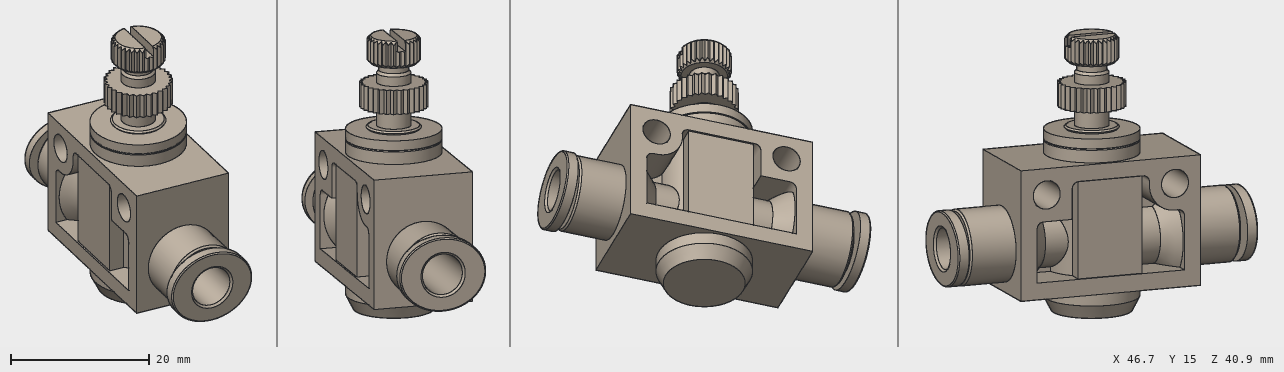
import cadquery as cq
import math


BODY_LENGTH = 28.0
BODY_WIDTH = 15.0
BODY_TOP = 12.4
BODY_BOTTOM = -7.0

HOLE_X = 10.0
HOLE_Z = 8.5
HOLE_RADIUS = 2.1

POCKET_HALF_LENGTH = 11.5
POCKET_BOTTOM = -4.5
POCKET_TOP = 10.05
POCKET_NECK_HALF_WIDTH = 6.02
POCKET_CORNER_RADIUS = 1.0
BOSS_RADIUS = HOLE_X - POCKET_NECK_HALF_WIDTH
POCKET_SHOULDER = HOLE_Z - BOSS_RADIUS
WEB_THICKNESS = 2.35

CORE_RADIUS = 7.0
PORT_CORE_RADIUS = 4.45
PORT_CORE_OFFSET = 0.45
FLARE_LENGTH = 2.5
PAD_WIDTH = 9.95
PAD_INSET = 0.3

OVERALL_LENGTH = 46.7
BARREL_RADIUS = 5.6
BARREL_END = 21.1
BARREL_CHAMFER = 0.3
SLEEVE_RADIUS = 3.8
FLANGE_THICKNESS = 1.65
FLANGE_HALF_WIDTH = 6.55
FLANGE_HALF_HEIGHT = 5.5
FLANGE_CHAMFER = 0.2
BORE_RADIUS = 3.05
BORE_DEPTH = 16.35
BORE_CHAMFER = 0.35

PLUG_BOTTOM = -10.97
PLUG_TAPER_TOP = -8.85
PLUG_END_RADIUS = 5.95

CAP_TOP = 15.95
CAP_SEAM = 14.5
SEAM_CHAMFER = 0.2
RING_RADIUS = 4.0
RING_HEIGHT = 0.5
RING_CHAMFER = RING_HEIGHT / 2
STEM_RADIUS = 2.5
STEM_SHOULDER = 24.35
NECK_START = 24.75
NECK_RADIUS = 2.2

KNURL_TEETH = 30
NUT_BOTTOM = 19.35
NUT_TOP = 22.95
NUT_TIP_RADIUS = 5.0
NUT_ROOT_RADIUS = 4.55
HEAD_BOTTOM = 25.85
HEAD_TOP = 29.95
HEAD_TIP_RADIUS = 3.9
HEAD_ROOT_RADIUS = 3.5
HEAD_CHAMFER = 0.55
SLOT_WIDTH = 1.15
SLOT_DEPTH = 1.55


def cylinder_z(radius, bottom, top):
    return cq.Workplane("XY").workplane(offset=bottom).circle(radius).extrude(top - bottom)


def cylinder_x(radius, start, end):
    return cq.Workplane("YZ").workplane(offset=start).circle(radius).extrude(end - start)


def revolve_z(profile):
    """Turn a closed (radius, z) profile about the Z axis."""
    return cq.Workplane("XZ").polyline(profile).close().revolve(360, (0, 0, 0), (0, 1, 0))


def mirrored_x(solid):
    return solid.union(solid.mirror("YZ"))


def pocket_outline():
    """Pocket outline; its left shoulder curves around the boss of the left mounting hole."""
    diagonal = BOSS_RADIUS * math.sqrt(0.5)
    return (
        cq.Workplane("XZ")
        .moveTo(-POCKET_HALF_LENGTH, POCKET_BOTTOM)
        .lineTo(POCKET_HALF_LENGTH, POCKET_BOTTOM)
        .lineTo(POCKET_HALF_LENGTH, POCKET_SHOULDER - POCKET_CORNER_RADIUS)
        .radiusArc((POCKET_HALF_LENGTH - POCKET_CORNER_RADIUS, POCKET_SHOULDER), -POCKET_CORNER_RADIUS)
        .lineTo(POCKET_NECK_HALF_WIDTH, POCKET_SHOULDER)
        .lineTo(POCKET_NECK_HALF_WIDTH, POCKET_TOP - POCKET_CORNER_RADIUS)
        .radiusArc((POCKET_NECK_HALF_WIDTH - POCKET_CORNER_RADIUS, POCKET_TOP), -POCKET_CORNER_RADIUS)
        .lineTo(-POCKET_NECK_HALF_WIDTH + POCKET_CORNER_RADIUS, POCKET_TOP)
        .radiusArc((-POCKET_NECK_HALF_WIDTH, POCKET_TOP - POCKET_CORNER_RADIUS), -POCKET_CORNER_RADIUS)
        .lineTo(-POCKET_NECK_HALF_WIDTH, HOLE_Z)
        .threePointArc((-HOLE_X + diagonal, HOLE_Z - diagonal), (-HOLE_X, POCKET_SHOULDER))
        .lineTo(-POCKET_HALF_LENGTH + POCKET_CORNER_RADIUS, POCKET_SHOULDER)
        .radiusArc((-POCKET_HALF_LENGTH, POCKET_SHOULDER - POCKET_CORNER_RADIUS), -POCKET_CORNER_RADIUS)
        .close()
    )


def port_core(side):
    """Round port core that flares at 45 degrees into the end wall of the pocket."""
    flare_start = POCKET_HALF_LENGTH - FLARE_LENGTH
    flare_end_radius = PORT_CORE_RADIUS + FLARE_LENGTH
    core = (
        cq.Workplane("XY")
        .moveTo(0, 0)
        .lineTo(0, PORT_CORE_RADIUS)
        .lineTo(flare_start, PORT_CORE_RADIUS)
        .lineTo(POCKET_HALF_LENGTH, flare_end_radius)
        .lineTo(POCKET_HALF_LENGTH, 0)
        .close()
        .revolve(360, (0, 0, 0), (1, 0, 0))
    )
    if side < 0:
        core = core.mirror("YZ")
    return core.translate((0, 0, side * PORT_CORE_OFFSET))


def make_body():
    height = BODY_TOP - BODY_BOTTOM
    block = cq.Workplane("XY").box(BODY_LENGTH, BODY_WIDTH, height, centered=(True, True, False))
    block = block.translate((0, 0, BODY_BOTTOM))

    pad_depth = BODY_WIDTH - 2 * PAD_INSET
    pad = cq.Workplane("XY").box(PAD_WIDTH, pad_depth, height, centered=(True, True, False))
    cores = pad.translate((0, 0, BODY_BOTTOM))
    cores = cores.union(cylinder_z(CORE_RADIUS, BODY_BOTTOM, BODY_TOP))
    cores = cores.union(port_core(-1)).union(port_core(1))
    web = cq.Workplane("XY").box(BODY_LENGTH, WEB_THICKNESS, 2 * height)
    cores = cores.union(web)

    pockets = pocket_outline().extrude(BODY_WIDTH / 2, both=True).cut(cores)
    holes = (
        cq.Workplane("XZ")
        .pushPoints([(-HOLE_X, HOLE_Z), (HOLE_X, HOLE_Z)])
        .circle(HOLE_RADIUS)
        .extrude(BODY_WIDTH, both=True)
    )
    return block.cut(pockets).cut(holes)


def make_ports():
    """Both barrels with their sleeves and oval release flanges."""
    face_x = OVERALL_LENGTH / 2
    barrel = cylinder_x(BARREL_RADIUS, BODY_LENGTH / 2, BARREL_END)
    barrel = barrel.faces(">X").chamfer(BARREL_CHAMFER)
    sleeve = cylinder_x(SLEEVE_RADIUS, BODY_LENGTH / 2, face_x)
    flange = (
        cq.Workplane("YZ")
        .workplane(offset=face_x - FLANGE_THICKNESS)
        .ellipse(FLANGE_HALF_WIDTH, FLANGE_HALF_HEIGHT)
        .extrude(FLANGE_THICKNESS)
        .faces(">X")
        .chamfer(FLANGE_CHAMFER)
    )
    return mirrored_x(barrel.union(sleeve).union(flange))


def make_bores():
    """Blind tube bores with a countersunk mouth."""
    face_x = OVERALL_LENGTH / 2
    profile = [
        (face_x - BORE_DEPTH, 0),
        (face_x - BORE_DEPTH, BORE_RADIUS),
        (face_x - BORE_CHAMFER, BORE_RADIUS),
        (face_x, BORE_RADIUS + BORE_CHAMFER),
        (face_x, 0),
    ]
    bore = cq.Workplane("XY").polyline(profile).close().revolve(360, (0, 0, 0), (1, 0, 0))
    return mirrored_x(bore)


def make_plug():
    return revolve_z([
        (0, PLUG_BOTTOM),
        (PLUG_END_RADIUS, PLUG_BOTTOM),
        (CORE_RADIUS, PLUG_TAPER_TOP),
        (CORE_RADIUS, BODY_BOTTOM),
        (0, BODY_BOTTOM),
    ])


def make_cap_and_stem():
    ring_top = CAP_TOP + RING_HEIGHT
    collar = cylinder_z(CORE_RADIUS, BODY_TOP, CAP_SEAM).faces(">Z").chamfer(SEAM_CHAMFER)
    cap = cylinder_z(CORE_RADIUS, CAP_SEAM, CAP_TOP)
    ring = revolve_z([
        (0, CAP_TOP),
        (RING_RADIUS - RING_CHAMFER, CAP_TOP),
        (RING_RADIUS, CAP_TOP + RING_CHAMFER),
        (RING_RADIUS - RING_CHAMFER, ring_top),
        (0, ring_top),
    ])
    stem = revolve_z([
        (0, CAP_TOP),
        (STEM_RADIUS, CAP_TOP),
        (STEM_RADIUS, STEM_SHOULDER),
        (NECK_RADIUS, NECK_START),
        (NECK_RADIUS, HEAD_BOTTOM),
        (0, HEAD_BOTTOM),
    ])
    return collar.union(cap).union(ring).union(stem)


def knurled_disc(tip_radius, root_radius, bottom, top):
    """Disc with pointed teeth, one of them pointing along +Y."""
    half_pitch = math.pi / KNURL_TEETH
    points = []
    for i in range(2 * KNURL_TEETH):
        radius = tip_radius if i % 2 == 0 else root_radius
        angle = math.pi / 2 + i * half_pitch
        points.append((radius * math.cos(angle), radius * math.sin(angle)))
    return cq.Workplane("XY").workplane(offset=bottom).polyline(points).close().extrude(top - bottom)


def make_head():
    """Knurled head with chamfered rims and a screwdriver slot along X."""
    envelope = cylinder_z(HEAD_TIP_RADIUS, HEAD_BOTTOM, HEAD_TOP).edges("%CIRCLE").chamfer(HEAD_CHAMFER)
    head = knurled_disc(HEAD_TIP_RADIUS, HEAD_ROOT_RADIUS, HEAD_BOTTOM, HEAD_TOP).intersect(envelope)
    slot = cq.Workplane("XY").box(2 * HEAD_TIP_RADIUS, SLOT_WIDTH, 2 * SLOT_DEPTH)
    return head.cut(slot.translate((0, 0, HEAD_TOP)))


lock_nut = knurled_disc(NUT_TIP_RADIUS, NUT_ROOT_RADIUS, NUT_BOTTOM, NUT_TOP)

result = (
    make_body()
    .union(make_ports())
    .union(make_plug())
    .union(make_cap_and_stem())
    .union(lock_nut)
    .union(make_head())
    .cut(make_bores())
)